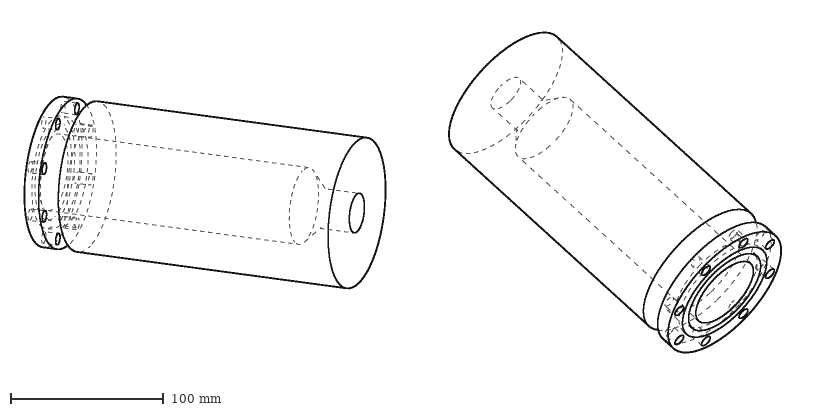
import cadquery as cq
import math

total_length = 215.15
outer_radius = 99.82 / 2

flange_thickness = 10.16
relief_width = 13.97
relief_radius = 34.0
relief_fillet = 1.3
cut_overrun = 1.0

bore_radius = 25.4
cone_half_angle = 45
outlet_radius = 13.1
outlet_fillet = 2.0
end_wall = 25.4

seal_inner_radius = 31.75
seal_outer_radius = 37.2
seal_depth = 4.1
seal_fillet = 0.8

bolt_count = 8
bolt_circle_radius = 43.18
bolt_hole_diameter = 7.6


def make_body():
    """Plain cylinder along +X."""
    return cq.Workplane("YZ").circle(outer_radius).extrude(total_length)


def cut_relief(body):
    """Annular relief behind the flange, with filleted floor corners."""
    ring = (
        cq.Workplane("YZ", origin=(flange_thickness, 0, 0))
        .circle(outer_radius + cut_overrun)
        .circle(relief_radius)
        .extrude(relief_width)
    )
    floor_edges = cq.selectors.RadiusNthSelector(0)
    return body.cut(ring.edges(floor_edges).fillet(relief_fillet))


def cut_bore(body):
    """Wide bore from the flange face, a cone at its end, and the outlet through the end wall."""
    outlet_start = total_length - end_wall
    cone_length = (bore_radius - outlet_radius) / math.tan(math.radians(cone_half_angle))
    cone_start = outlet_start - cone_length
    half_profile = (
        cq.Workplane("XZ")
        .lineTo(0, bore_radius)
        .lineTo(cone_start, bore_radius)
        .lineTo(outlet_start, outlet_radius)
        .lineTo(total_length, outlet_radius)
        .lineTo(total_length, 0)
        .close()
    )
    bored = body.cut(half_profile.revolve(360, (0, 0, 0), (1, 0, 0)))
    reach = outlet_radius + outlet_fillet
    outlet_mouth = cq.selectors.BoxSelector(
        (outlet_start - outlet_fillet, -reach, -reach),
        (outlet_start + outlet_fillet, reach, reach),
    )
    return bored.edges("%CIRCLE").edges(outlet_mouth).fillet(outlet_fillet)


def cut_seal_groove(body):
    """Annular seal groove in the flange face with rounded floor corners."""
    groove = (
        cq.Workplane("YZ")
        .circle(seal_outer_radius)
        .circle(seal_inner_radius)
        .extrude(seal_depth)
        .faces(">X")
        .edges()
        .fillet(seal_fillet)
    )
    return body.cut(groove)


def cut_bolt_holes(body):
    """Ring of bolt holes, straddling the Y and Z axes."""
    pitch_angle = 360 / bolt_count
    holes = (
        cq.Workplane("YZ")
        .polarArray(bolt_circle_radius, pitch_angle / 2, 360, bolt_count)
        .circle(bolt_hole_diameter / 2)
        .extrude(flange_thickness)
    )
    return body.cut(holes)


result = make_body()
result = cut_relief(result)
result = cut_bore(result)
result = cut_seal_groove(result)
result = cut_bolt_holes(result)